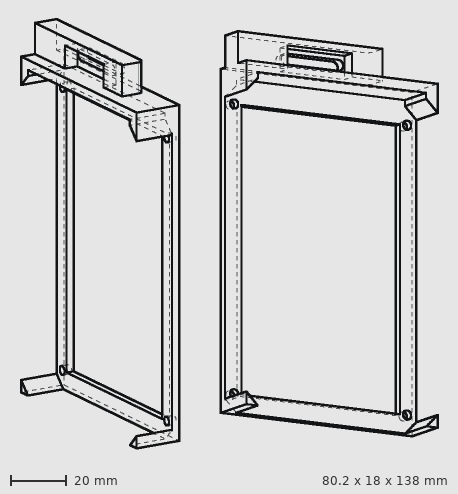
import cadquery as cq

width = 80.2
depth = 18.0
total_height = 138.0
tab_height = 11.7
frame_height = total_height - tab_height
frame_thickness = 3.0

side_rail = 6.9
bottom_rail = 6.9
window_height = 106.4
hole_diameter = 3.3
hole_inset = 3.9
hole_heights = (bottom_rail, bottom_rail + window_height)

roof_thickness = 3.9
cheek_width = 4.8
cheek_height = 10.8
cheek_inner_height = 6.1
foot_leg = 4.7

tab_width = 60.6
tab_rear = 3.0
tab_depth = 9.1
tab_corner_radius = 2.3
recess_width = 26.9
recess_height = 8.7
recess_depth = 5.2
recess_center_x = 34.2
slot_length = 25.8
slot_height = 4.0
slot_center_z = total_height - 6.8


def block(x, rear, z, size_x, size_y, size_z):
    """Box from its left, rear, lower corner, extending toward -Y."""
    box = cq.Workplane("XY").box(size_x, size_y, size_z, centered=False)
    return box.translate((x, -rear - size_y, z))


def front_profile(points):
    """Extrude an XZ outline from the rear face to the full depth."""
    return cq.Workplane("XZ").polyline(points).close().extrude(depth)


def make_frame():
    frame = block(0, 0, 0, width, frame_thickness, frame_height)
    window_width = width - 2 * side_rail
    frame = frame.cut(block(side_rail, 0, bottom_rail, window_width, frame_thickness, window_height))
    hole_points = [(x, z) for x in (hole_inset, width - hole_inset) for z in hole_heights]
    holes = cq.Workplane("XZ").pushPoints(hole_points).circle(hole_diameter / 2).extrude(frame_thickness)
    return frame.cut(holes)


def make_roof():
    cheek_bottom = frame_height - cheek_height
    cheek_inner_bottom = frame_height - cheek_inner_height
    roof_bottom = frame_height - roof_thickness
    return front_profile([
        (0, frame_height),
        (0, cheek_bottom),
        (cheek_width, cheek_inner_bottom),
        (cheek_width, roof_bottom),
        (width - cheek_width, roof_bottom),
        (width - cheek_width, cheek_inner_bottom),
        (width, cheek_bottom),
        (width, frame_height),
    ])


def make_feet():
    left = front_profile([(0, 0), (foot_leg, 0), (0, foot_leg)])
    right = front_profile([(width, 0), (width, foot_leg), (width - foot_leg, 0)])
    return left.union(right)


def make_tab():
    tab = block(0, tab_rear, frame_height, tab_width, tab_depth, tab_height)
    tab = tab.edges("|Z and >X and >Y").fillet(tab_corner_radius)
    recess_left = recess_center_x - recess_width / 2
    recess_rear = tab_rear + tab_depth - recess_depth
    recess = block(recess_left, recess_rear, frame_height, recess_width, recess_depth, recess_height)
    slot = (
        cq.Workplane("XZ")
        .center(recess_center_x, slot_center_z)
        .slot2D(slot_length, slot_height)
        .extrude(depth)
    )
    return tab.cut(recess).cut(slot)


result = make_frame().union(make_roof()).union(make_feet()).union(make_tab())